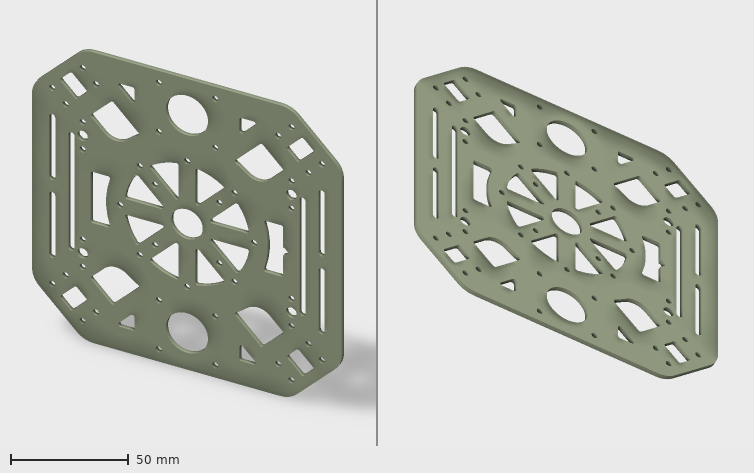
import cadquery as cq
import math

plate_size = 148.0
plate_thickness = 2.0
corner_cut = 24.7
corner_round = 11.7
cutter_depth = 2 * plate_thickness

screw_radius = 1.5
pin_radius = 2.5
hub_radius = 7.5
port_radius = 10.0
port_z = 55.4
port_screw_x = 13.5
port_screw_offset = 12.5
rail_screw_x = 49.9
rail_pin_z = 29.9
rail_screw_offset = 7.0
corner_screw_outer = (64.4, rail_screw_x)
corner_screw_inner = (58.0, 43.5)

spoke_count = 8
spoke_half_width = 4.0
window_radius = 30.0
outer_ring_radius = 32.0
outer_ring_count = 8
inner_ring_radius = 21.8
inner_ring_count = 4

slot_width = 3.0
outer_slot_x = 64.4
outer_slot_z = 19.8
outer_slot_length = 33.5
inner_slot_x = 55.2
inner_slot_length = 60.2

pocket_round = 1.0
side_pocket_x = 46.0
side_pocket_half_height = 13.0
side_pocket_arc_radius = 38.6
notch_depth = 2.5
notch_half_height = 1.9
triangle_x = 25.0
triangle_z = 61.9
triangle_leg = 9.3

diagonal_angle = 45.0
small_pocket_inner = 71.0
small_pocket_outer = 82.1
small_pocket_half_width = 4.0
large_pocket_arc_radius = 44.5
large_pocket_outer = 62.0
large_pocket_wide_side = 11.5
large_pocket_narrow_side = 3.5
large_pocket_round = 8.0


def front_plane():
    """Work plane with local x = X, local y = Z and its normal along -Y."""
    return cq.Workplane("XZ")


def block(x_min, x_max, z_min, z_max):
    """Rectangular cutter that passes through the plate."""
    center = ((x_min + x_max) / 2, (z_min + z_max) / 2)
    outline = front_plane().center(*center).rect(x_max - x_min, z_max - z_min)
    return outline.extrude(cutter_depth, both=True)


def disk(radius):
    """Round cutter about the plate centre."""
    return front_plane().circle(radius).extrude(cutter_depth, both=True)


def prism(points):
    """Polygonal cutter that passes through the plate."""
    return front_plane().polyline(points).close().extrude(cutter_depth, both=True)


def turned(shape, angle):
    """Turn a cutter about the plate centre, from +X toward +Z."""
    return shape.rotate((0, 0, 0), (0, -1, 0), angle)


def left_and_right(shape):
    return [shape, shape.mirror("YZ")]


def all_quadrants(shape):
    return left_and_right(shape) + left_and_right(shape.mirror("XY"))


def quadrant_points(x, z):
    return [(sx * x, sz * z) for sx in (1, -1) for sz in (1, -1)]


def circle_points(radius, count, start_angle):
    angles = [math.radians(start_angle + i * 360 / count) for i in range(count)]
    return [(radius * math.cos(a), radius * math.sin(a)) for a in angles]


def make_plate():
    plate = front_plane().rect(plate_size, plate_size).extrude(plate_thickness / 2, both=True)
    return plate.edges("|Y").chamfer(corner_cut).edges("|Y").fillet(corner_round)


def drill(plate, points, radius):
    holes = front_plane().pushPoints(points).circle(radius).extrude(cutter_depth, both=True)
    return plate.cut(holes)


def cut_slots(plate, points, length):
    slots = front_plane().pushPoints(points).slot2D(length, slot_width, 90)
    return plate.cut(slots.extrude(cutter_depth, both=True))


def hub_windows():
    """Sectors bounded by two neighbouring spokes and the window circle."""
    step = 360 / spoke_count
    half_step = math.radians(step / 2)
    apex = (spoke_half_width / math.tan(half_step), spoke_half_width)
    far = 2 * window_radius
    spoke_direction = (math.cos(2 * half_step), math.sin(2 * half_step))
    along_spoke = (apex[0] + far * spoke_direction[0], apex[1] + far * spoke_direction[1])
    wedge = prism([apex, (apex[0] + far, apex[1]), along_spoke])
    window = wedge.intersect(disk(window_radius)).edges("|Y").fillet(pocket_round)
    return [turned(window, i * step) for i in range(spoke_count)]


def side_pocket():
    """Upright pocket on the +X side whose inner wall is an arc about the plate centre."""
    pocket = block(0, side_pocket_x, -side_pocket_half_height, side_pocket_half_height)
    return pocket.cut(disk(side_pocket_arc_radius)).edges("|Y").fillet(pocket_round)


def side_notch():
    """Notch in the outer wall of the +X side pocket, ending in a right-angled point."""
    inside_x = side_pocket_x - notch_half_height
    tip_x = side_pocket_x + notch_depth
    shoulder_x = tip_x - notch_half_height
    return prism(
        [
            (inside_x, -notch_half_height),
            (shoulder_x, -notch_half_height),
            (tip_x, 0),
            (shoulder_x, notch_half_height),
            (inside_x, notch_half_height),
        ]
    )


def triangle_pocket():
    """Right-angled triangle beside the port hole."""
    corner = (triangle_x, triangle_z)
    outer = (triangle_x + triangle_leg, triangle_z)
    lower = (triangle_x, triangle_z - triangle_leg)
    return prism([corner, outer, lower]).edges("|Y").fillet(pocket_round)


def small_diagonal_pocket():
    """Rectangle lying across the corner diagonal."""
    half_width = small_pocket_half_width
    pocket = block(small_pocket_inner, small_pocket_outer, -half_width, half_width)
    return turned(pocket.edges("|Y").fillet(pocket_round), diagonal_angle)


def large_diagonal_pocket():
    """Off-centre pocket with an arc inner wall and one generously rounded inner corner."""
    pocket = block(0, large_pocket_outer, -large_pocket_narrow_side, large_pocket_wide_side)
    pocket = pocket.cut(disk(large_pocket_arc_radius))
    pocket = pocket.edges("|Y").edges(">X").fillet(pocket_round)
    pocket = pocket.edges("|Y").edges("<X").fillet(pocket_round)
    inner_corner_x = math.sqrt(large_pocket_arc_radius**2 - large_pocket_narrow_side**2)
    inner_corner = cq.NearestToPointSelector((inner_corner_x, 0, -large_pocket_narrow_side))
    pocket = pocket.edges("|Y").edges(inner_corner).fillet(large_pocket_round)
    return turned(pocket, diagonal_angle)


screw_points = (
    quadrant_points(port_screw_x, port_z + port_screw_offset)
    + quadrant_points(port_screw_x, port_z - port_screw_offset)
    + quadrant_points(rail_screw_x, rail_pin_z + rail_screw_offset)
    + quadrant_points(rail_screw_x, rail_pin_z - rail_screw_offset)
    + circle_points(outer_ring_radius, outer_ring_count, 0)
    + circle_points(inner_ring_radius, inner_ring_count, diagonal_angle)
)
for a, b in (corner_screw_outer, corner_screw_inner):
    screw_points += quadrant_points(a, b) + quadrant_points(b, a)

result = make_plate()
result = drill(result, screw_points, screw_radius)
result = drill(result, quadrant_points(rail_screw_x, rail_pin_z), pin_radius)
result = drill(result, [(0, port_z), (0, -port_z)], port_radius)
result = drill(result, [(0, 0)], hub_radius)
result = cut_slots(result, quadrant_points(outer_slot_x, outer_slot_z), outer_slot_length)
result = cut_slots(result, [(inner_slot_x, 0), (-inner_slot_x, 0)], inner_slot_length)

pockets = hub_windows() + left_and_right(side_pocket()) + [side_notch()]
for quadrant_pocket in (triangle_pocket(), small_diagonal_pocket(), large_diagonal_pocket()):
    pockets += all_quadrants(quadrant_pocket)
for pocket in pockets:
    result = result.cut(pocket)